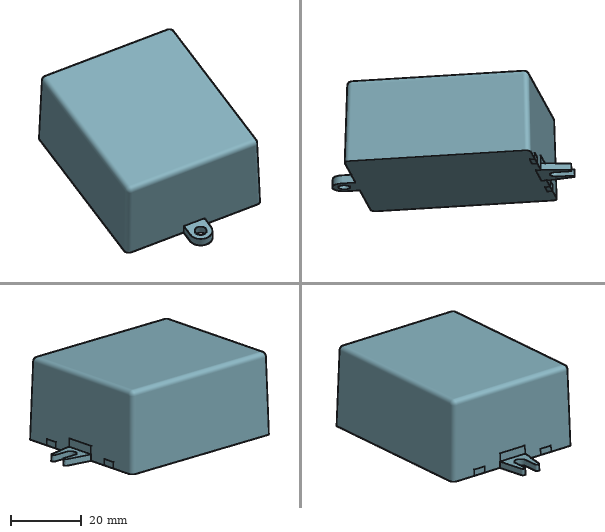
import cadquery as cq

LENGTH = 53.6
WIDTH = 43.5
HEIGHT = 24.6
DRAFT = 1.5
EDGE_RADIUS = 1.5

EAR_REACH = 7.3
EAR_RADIUS = 3.45
EAR_THICKNESS = 2.5
EAR_DRAFT = 3.0
EAR_HOLE_DIAMETER = 3.3

FORK_REACH = 8.45
FORK_THICKNESS = 1.95
FORK_DRAFT = 3.0
FORK_ROOT_WIDTH = 9.4
FORK_TIP_WIDTH = 6.3
FORK_TIP_RADIUS = 0.6
SLOT_WIDTH = 3.6
SLOT_DEPTH = 6.65
ROOT_PLATE_WIDTH = 9.0
ROOT_PLATE_HEIGHT = 4.45

PLUG_WIDTH = 3.8
PLUG_HEIGHT = 1.95
PLUG_OFFSET = 12.0

NOTCH_DEPTH = 1.5

HALF_LENGTH = LENGTH / 2
FORK_TIP_X = -HALF_LENGTH - FORK_REACH
NOTCH_FLOOR_X = -HALF_LENGTH + NOTCH_DEPTH
EAR_CENTER_X = HALF_LENGTH + EAR_REACH - EAR_RADIUS


def make_shell():
    """Drafted, rounded block without ear or notches."""
    block = cq.Workplane("XY").rect(LENGTH, WIDTH).extrude(HEIGHT, taper=DRAFT)
    return block.edges("not <Z").fillet(EDGE_RADIUS)


def make_ear():
    """Drafted ear with a through hole; its root reaches inside the housing."""
    root_x = HALF_LENGTH - EAR_RADIUS
    ear = (
        cq.Workplane("XY")
        .moveTo(root_x, -EAR_RADIUS)
        .lineTo(EAR_CENTER_X, -EAR_RADIUS)
        .threePointArc((EAR_CENTER_X + EAR_RADIUS, 0), (EAR_CENTER_X, EAR_RADIUS))
        .lineTo(root_x, EAR_RADIUS)
        .close()
        .extrude(EAR_THICKNESS, taper=EAR_DRAFT)
    )
    hole = (
        cq.Workplane("XY")
        .center(EAR_CENTER_X, 0)
        .circle(EAR_HOLE_DIAMETER / 2)
        .extrude(EAR_THICKNESS)
    )
    return ear.cut(hole)


def make_side_insert(shell, width, height, center_y):
    """Block that fills a notch in the -X side, flush with the drafted face."""
    block = cq.Workplane("XY").box(NOTCH_DEPTH, width, height, centered=(False, True, False))
    return block.translate((-HALF_LENGTH, center_y, 0)).intersect(shell)


def make_fork_arms(shell):
    """Drafted wedge with a straight-walled open slot, ending against the -X face."""
    root_half = FORK_ROOT_WIDTH / 2
    tip_half = FORK_TIP_WIDTH / 2
    slot_half = SLOT_WIDTH / 2
    slot_center_x = FORK_TIP_X + SLOT_DEPTH - slot_half
    wedge = (
        cq.Workplane("XY")
        .moveTo(NOTCH_FLOOR_X, -root_half)
        .lineTo(-HALF_LENGTH, -root_half)
        .lineTo(FORK_TIP_X, -tip_half)
        .lineTo(FORK_TIP_X, tip_half)
        .lineTo(-HALF_LENGTH, root_half)
        .lineTo(NOTCH_FLOOR_X, root_half)
        .close()
        .extrude(FORK_THICKNESS, taper=FORK_DRAFT)
    )
    slot = (
        cq.Workplane("XY")
        .moveTo(FORK_TIP_X, -slot_half)
        .lineTo(slot_center_x, -slot_half)
        .threePointArc((slot_center_x + slot_half, 0), (slot_center_x, slot_half))
        .lineTo(FORK_TIP_X, slot_half)
        .close()
        .extrude(FORK_THICKNESS)
    )
    tip_faces = wedge.cut(slot).faces("<X")
    return tip_faces.edges("not #Z").fillet(FORK_TIP_RADIUS).cut(shell)


shell = make_shell()

root_plate = make_side_insert(shell, ROOT_PLATE_WIDTH, ROOT_PLATE_HEIGHT, 0)
fork = make_fork_arms(shell).union(root_plate)

plugs = []
for side in (-1, 1):
    plugs.append(make_side_insert(shell, PLUG_WIDTH, PLUG_HEIGHT, side * PLUG_OFFSET))

housing = shell.union(make_ear()).cut(root_plate)
for plug in plugs:
    housing = housing.cut(plug)

bodies = [housing, fork, *plugs]
result = cq.Compound.makeCompound([body.solids().val() for body in bodies])